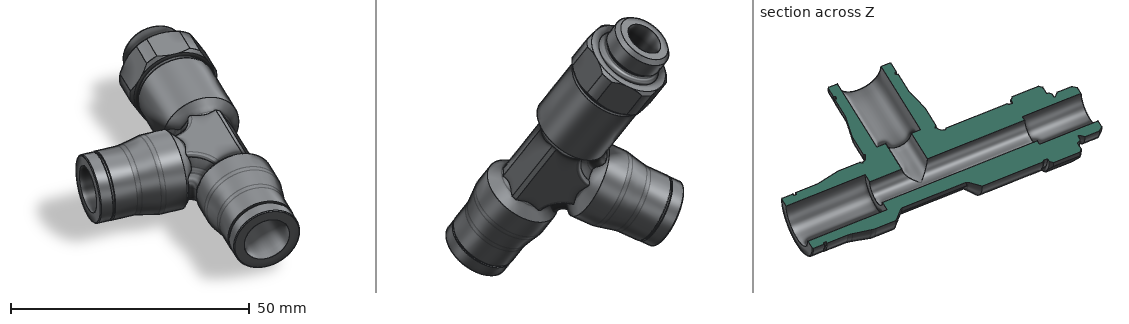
import cadquery as cq
import math

OVERALL_LENGTH = 68.5
PORT_REACH = 29.05
STUD_REACH = OVERALL_LENGTH - PORT_REACH
BODY_RADIUS = 8.55
BORE_RADIUS = 2.95

CONE_START = 10.1
CONE_TIP_RADIUS = 6.4
CONE_END = CONE_START - (BODY_RADIUS - CONE_TIP_RADIUS)
NECK_RADIUS = 5.9
NECK_END = 7.0

SLEEVE_RADIUS = 7.5
RING_RADIUS = 7.4
RING_LENGTH = 2.8
RING_CHAMFER = 0.2
GROOVE_WIDTH = 0.55
GROOVE_RADIUS = 7.0
SLEEVE_LENGTH = 8.2
TAPER_LENGTH = 6.0
TAPER_BLEND = 1.0
TAPER_BLEND_DROP = 0.15
SOCKET_RADIUS = 5.1
SOCKET_DEPTH = 18.5

THREAD_RADIUS = 6.6
THREAD_TIP_RADIUS = 5.75
THREAD_TIP_CHAMFER = 0.95
THREAD_LENGTH = 4.4
RELIEF_RADIUS = 5.7
RELIEF_START = THREAD_LENGTH + THREAD_RADIUS - RELIEF_RADIUS
COLLAR_START = 5.5
COLLAR_RADIUS = 7.25
STUD_BORE_RADIUS = 4.0
STUD_BORE_DEPTH = 13.7
HEX_START = 6.45
COLLAR_ROUND = HEX_START - COLLAR_START
HEX_LENGTH = 7.55
HEX_ACROSS_FLATS = 18.0
HEX_CORNER_RADIUS = 9.7
HEX_CHAMFER = 0.7
SHANK_NECK_RADIUS = 8.2
SHANK_START = 14.8
SHANK_CHAMFER = BODY_RADIUS - SHANK_NECK_RADIUS

CORE_HALF_WIDTH = 9.6
CORE_HALF_HEIGHT = 6.15
CORE_BACK = 6.15
CORE_BACK_HALF_HEIGHT = 1.2
CORE_FLAT_EDGE = 2.7
CORE_BEVEL_EDGE = 3.6
CORE_BEVEL_DROP = 0.55

CORNER_CENTER = 9.7
CORNER_TOP_RADIUS = 7.1
CORNER_EDGE_ROUND = 0.8
CORNER_FOOT_RADIUS = 3.85
CORNER_FOOT_FILLET = 1.5
CORNER_WALL_ANGLE = math.radians(50)
WEB_HALF_HEIGHT = 3.2
WEB_EDGE_ROUND = 2.2
WEB_RADIUS = 1.4


def turned_along_x(profile):
    """Revolve a closed XY profile around the X axis."""
    return profile.close().revolve(360, (0, 0, 0), (1, 0, 0))


def rod(start, length, radius):
    """Cylinder on the X axis running from start towards +X."""
    return cq.Workplane("YZ").workplane(offset=start).circle(radius).extrude(length)


def port_arm():
    """Tube port along +X: cone, barrel, flared taper, sleeve, groove and release ring."""
    groove_end = PORT_REACH - RING_LENGTH
    groove_start = groove_end - GROOVE_WIDTH
    taper_end = PORT_REACH - SLEEVE_LENGTH
    taper_start = taper_end - TAPER_LENGTH
    profile = (
        cq.Workplane("XY")
        .moveTo(0, 0)
        .lineTo(0, NECK_RADIUS)
        .lineTo(NECK_END, NECK_RADIUS)
        .lineTo(CONE_END, CONE_TIP_RADIUS)
        .lineTo(CONE_START, BODY_RADIUS)
        .lineTo(taper_start, BODY_RADIUS)
        .tangentArcPoint((taper_start + TAPER_BLEND, BODY_RADIUS - TAPER_BLEND_DROP), relative=False)
        .lineTo(taper_end - TAPER_BLEND, SLEEVE_RADIUS + TAPER_BLEND_DROP)
        .tangentArcPoint((taper_end, SLEEVE_RADIUS), relative=False)
        .lineTo(groove_start, SLEEVE_RADIUS)
        .lineTo(groove_start, GROOVE_RADIUS)
        .lineTo(groove_end, GROOVE_RADIUS)
        .lineTo(groove_end, RING_RADIUS)
        .lineTo(PORT_REACH - RING_CHAMFER, RING_RADIUS)
        .lineTo(PORT_REACH, RING_RADIUS - RING_CHAMFER)
        .lineTo(PORT_REACH, 0)
    )
    return turned_along_x(profile)


def port_bore():
    """Tube socket with the narrower flow passage behind it, along +X."""
    socket = rod(PORT_REACH - SOCKET_DEPTH, SOCKET_DEPTH, SOCKET_RADIUS)
    return rod(0, PORT_REACH, BORE_RADIUS).union(socket)


def stud_arm():
    """Thread, relief, collar and shank along -X, without the hexagon."""
    tip = -STUD_REACH
    shank = tip + SHANK_START
    profile = (
        cq.Workplane("XY")
        .moveTo(tip, 0)
        .lineTo(tip, THREAD_TIP_RADIUS)
        .lineTo(tip + THREAD_TIP_CHAMFER, THREAD_RADIUS)
        .lineTo(tip + THREAD_LENGTH, THREAD_RADIUS)
        .lineTo(tip + RELIEF_START, RELIEF_RADIUS)
        .lineTo(tip + COLLAR_START, RELIEF_RADIUS)
        .lineTo(tip + COLLAR_START, COLLAR_RADIUS - COLLAR_ROUND)
        .radiusArc((tip + HEX_START, COLLAR_RADIUS), COLLAR_ROUND)
        .lineTo(tip + HEX_START, SHANK_NECK_RADIUS)
        .lineTo(shank, SHANK_NECK_RADIUS)
        .lineTo(shank + SHANK_CHAMFER, BODY_RADIUS)
        .lineTo(-CONE_START, BODY_RADIUS)
        .lineTo(-CONE_END, CONE_TIP_RADIUS)
        .lineTo(-NECK_END, NECK_RADIUS)
        .lineTo(0, NECK_RADIUS)
        .lineTo(0, 0)
    )
    return turned_along_x(profile)


def hexagon():
    """Spanner hexagon with flats facing +-Z, its corners turned and chamfered at both ends."""
    start = -STUD_REACH + HEX_START
    across_corners = HEX_ACROSS_FLATS / math.cos(math.radians(30))
    prism = cq.Workplane("YZ").workplane(offset=start).polygon(6, across_corners).extrude(HEX_LENGTH)
    return prism.intersect(rod(start, HEX_LENGTH, HEX_CORNER_RADIUS).edges().chamfer(HEX_CHAMFER))


def corner_cutter():
    """Tool for the corner at -X, -Y: stepped concave walls down to the web at mid height."""
    top_edge = CORE_HALF_HEIGHT - CORNER_EDGE_ROUND
    fillet_end = (
        CORNER_FOOT_RADIUS + CORNER_FOOT_FILLET * math.sin(CORNER_WALL_ANGLE),
        WEB_HALF_HEIGHT + CORNER_FOOT_FILLET * (1 - math.cos(CORNER_WALL_ANGLE)),
    )
    web_edge = WEB_HALF_HEIGHT - WEB_EDGE_ROUND
    upper = (
        cq.Workplane("XZ")
        .moveTo(0, 0)
        .lineTo(WEB_RADIUS, 0)
        .lineTo(WEB_RADIUS, web_edge)
        .radiusArc((WEB_RADIUS + WEB_EDGE_ROUND, WEB_HALF_HEIGHT), WEB_EDGE_ROUND)
        .lineTo(CORNER_FOOT_RADIUS, WEB_HALF_HEIGHT)
        .tangentArcPoint(fillet_end, relative=False)
        .lineTo(CORNER_TOP_RADIUS - CORNER_EDGE_ROUND, top_edge)
        .radiusArc((CORNER_TOP_RADIUS, CORE_HALF_HEIGHT), CORNER_EDGE_ROUND)
        .lineTo(0, CORE_HALF_HEIGHT)
        .close()
        .revolve(360, (0, 0, 0), (0, 1, 0))
    )
    cutter = upper.union(upper.mirror("XY"))
    return cutter.translate((-CORNER_CENTER, -CORNER_CENTER, 0))


def core():
    """Block at the crossing: flat top and bottom, sloped back, concave corners beside the branch."""
    upper = [
        (CORE_BACK, CORE_BACK_HALF_HEIGHT),
        (CORE_BEVEL_EDGE, CORE_HALF_HEIGHT - CORE_BEVEL_DROP),
        (CORE_FLAT_EDGE, CORE_HALF_HEIGHT),
        (-CORE_HALF_WIDTH, CORE_HALF_HEIGHT),
    ]
    lower = [(y, -z) for y, z in reversed(upper)]
    block = (
        cq.Workplane("YZ")
        .polyline(upper + lower)
        .close()
        .extrude(CORE_HALF_WIDTH, both=True)
    )
    cutter = corner_cutter()
    return block.cut(cutter).cut(cutter.mirror("YZ"))


def toward_branch(shape):
    """Swing a shape from +X to -Y."""
    return shape.rotate((0, 0, 0), (0, 0, 1), -90)


def stud_bore():
    """Passage on the stud side with its wider mouth."""
    passage = rod(-STUD_REACH, STUD_REACH, BORE_RADIUS)
    return passage.union(rod(-STUD_REACH, STUD_BORE_DEPTH, STUD_BORE_RADIUS))


outside = (
    core()
    .union(stud_arm())
    .union(hexagon())
    .union(port_arm())
    .union(toward_branch(port_arm()))
)
result = (
    outside
    .cut(stud_bore())
    .cut(port_bore())
    .cut(toward_branch(port_bore()))
)